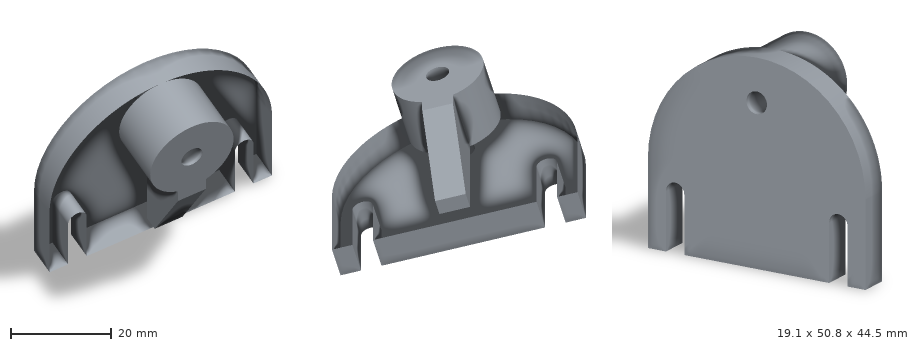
import cadquery as cq

plate_width = 50.8
plate_thickness = 6.35
plate_radius = plate_width / 2
arc_center_z = 19.05
plate_height = arc_center_z + plate_radius

total_depth = 19.05
boss_diameter = 19.05
boss_center_z = plate_height - boss_diameter / 2
bore_diameter = 4.8

slot_width = 4.25
slot_offset_y = 19.05
slot_arc_center_z = 12.7

rib_thickness = 6.35
rib_bottom_z = 3.8
rib_bottom_x = 9.55
rib_front_z = 22.85


def make_plate():
    return (
        cq.Workplane("YZ")
        .moveTo(-plate_radius, 0)
        .lineTo(plate_radius, 0)
        .lineTo(plate_radius, arc_center_z)
        .threePointArc((0, plate_height), (-plate_radius, arc_center_z))
        .close()
        .extrude(plate_thickness)
    )


def make_boss():
    return (
        cq.Workplane("YZ", origin=(plate_thickness, 0, boss_center_z))
        .circle(boss_diameter / 2)
        .extrude(total_depth - plate_thickness)
    )


def make_bore():
    return (
        cq.Workplane("YZ", origin=(0, 0, boss_center_z))
        .circle(bore_diameter / 2)
        .extrude(total_depth)
    )


def make_rib():
    return (
        cq.Workplane("XZ")
        .moveTo(plate_thickness, rib_bottom_z)
        .lineTo(rib_bottom_x, rib_bottom_z)
        .lineTo(total_depth, rib_front_z)
        .lineTo(total_depth, boss_center_z)
        .lineTo(plate_thickness, boss_center_z)
        .close()
        .extrude(rib_thickness / 2, both=True)
    )


def make_slot(center_y):
    half_width = slot_width / 2
    return (
        cq.Workplane("YZ")
        .moveTo(center_y - half_width, 0)
        .lineTo(center_y + half_width, 0)
        .lineTo(center_y + half_width, slot_arc_center_z)
        .threePointArc(
            (center_y, slot_arc_center_z + half_width),
            (center_y - half_width, slot_arc_center_z),
        )
        .close()
        .extrude(plate_thickness)
    )


result = make_plate().union(make_boss()).union(make_rib())
for side in (-1, 1):
    result = result.cut(make_slot(side * slot_offset_y))
result = result.cut(make_bore())